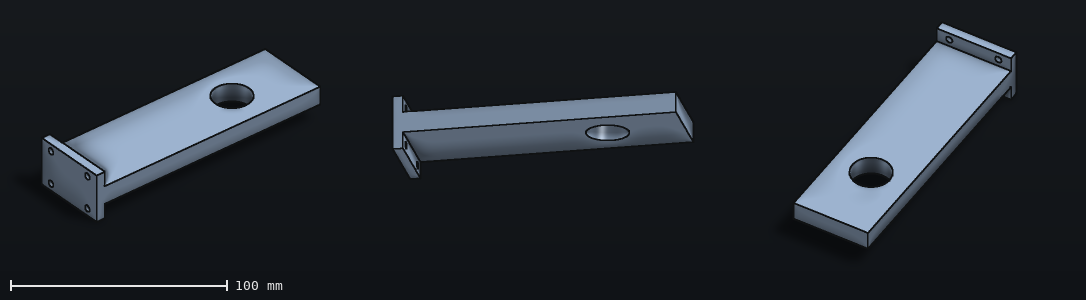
import cadquery as cq

width = 40.0
length = 133.5
flange_height = 26.0

flange_thickness = 5.0
arm_thickness = 10.0

arm_hole_diameter = 20.0
arm_hole_from_front = 97.2

mount_hole_diameter = 3.3
mount_spacing_x = 26.4
mount_spacing_z = 18.0


def make_flange():
    """Upright plate with its front face on y = 0 and four mounting holes."""
    plate = cq.Workplane("XY").box(
        width, flange_thickness, flange_height, centered=(True, False, True)
    )
    return (
        plate.faces("<Y")
        .workplane(centerOption="CenterOfBoundBox")
        .rarray(mount_spacing_x, mount_spacing_z, 2, 2)
        .hole(mount_hole_diameter)
    )


def make_arm():
    """Flat bar running back from the flange, with one vertical through hole."""
    arm_length = length - flange_thickness
    bar = (
        cq.Workplane("XY")
        .box(width, arm_length, arm_thickness, centered=(True, False, True))
        .translate((0, flange_thickness, 0))
    )
    hole = (
        cq.Workplane("XY")
        .center(0, arm_hole_from_front)
        .circle(arm_hole_diameter / 2)
        .extrude(arm_thickness, both=True)
    )
    return bar.cut(hole)


result = make_flange().union(make_arm())